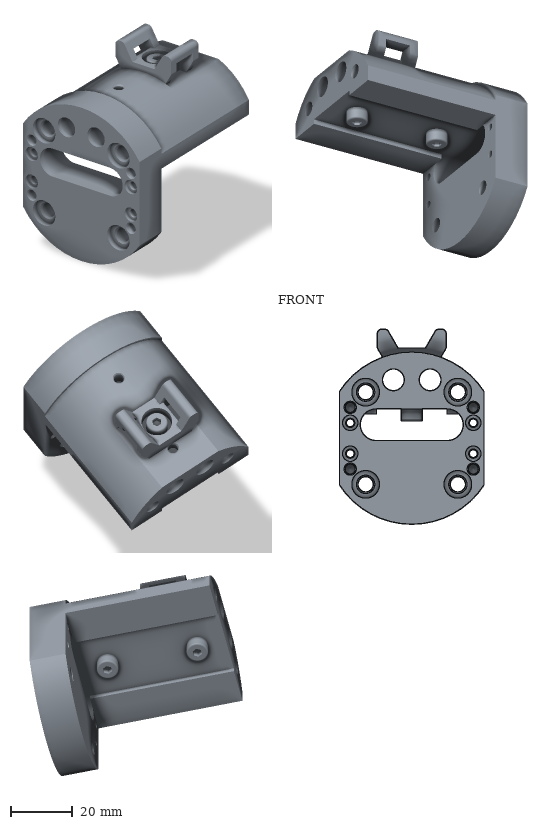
import cadquery as cq
import math

WIDTH = 47.0
LENGTH = 60.0
HEIGHT = 63.5
FLANGE_RADIUS = 28.0
FLANGE_THICKNESS = 12.0
CLIP_TOP = HEIGHT - FLANGE_RADIUS

ARM_RADIUS = 27.0
ARM_BOTTOM = 7.9
SEAT_HEIGHT = 24.5
RECESS_WIDTH = 22.85
RECESS_CEILING = 9.5

SLOT_LENGTH = 33.4
SLOT_HEIGHT = 10.2

M3_CORE, M3_MOUTH = 2.5, 3.0
M4_CORE, M4_MOUTH = 3.25, 4.0
M6_CORE, M6_MOUTH = 4.9, 6.0

CORNER_HOLE_OFFSET = 15.0
CORNER_COUNTERBORE = 9.0
CORNER_COUNTERBORE_DEPTH = 2.0
SIDE_HOLE_X = 20.0
SIDE_HOLE_Z = 5.0
SIDE_COUNTERBORE = 5.0
SIDE_COUNTERBORE_DEPTH = 1.3
BLIND_HOLE_Z = 2 * SIDE_HOLE_Z
BLIND_HOLE_DEPTH = 8.0
DRILL_POINT_ANGLE = 118.0
PLAIN_HOLE_DIAMETER = 7.0
PLAIN_HOLE_X = 6.0
PLAIN_HOLE_Z = 19.0

HEAD_DIAMETER = 7.0
HEAD_HEIGHT = 4.0
HEAD_FILLET = 0.5
SHANK_LENGTH = 12.0
SOCKET_ACROSS_FLATS = 2.7
SOCKET_DEPTH = 2.0
ARM_SCREW_FRONT_Y = 20.5
ARM_SCREW_REAR_Y = 50.5

CLIP_FRONT = 34.05
CLIP_LENGTH = 15.0
CLIP_CENTER_Y = CLIP_FRONT + CLIP_LENGTH / 2
CLIP_WIDTH = 22.5
CLIP_FLOOR_WIDTH = 8.9
CLIP_FLOOR = 29.35
CLIP_SLOPE = math.tan(math.radians(30))
TIP_FILLET = 1.5
SIDE_FILLET = 1.4
WINDOW_LENGTH = 9.0
WINDOW_TOP = 32.4
WINDOW_INNER_X = 5.8
CLIP_COUNTERBORE = 10.0
CLIP_HEAD_SINK = 0.25
CLIP_HEAD_SEAT = CLIP_FLOOR - CLIP_HEAD_SINK - HEAD_HEIGHT


def cylinder(diameter, start, direction, length):
    return cq.Workplane(cq.Solid.makeCylinder(diameter / 2, length, cq.Vector(*start), cq.Vector(*direction)))


def box(x_min, x_max, y_min, y_max, z_min, z_max):
    corner = cq.Vector(x_min, y_min, z_min)
    return cq.Workplane(cq.Solid.makeBox(x_max - x_min, y_max - y_min, z_max - z_min, corner))


def cone(diameter, end_diameter, start, direction, length):
    return cq.Workplane(
        cq.Solid.makeCone(diameter / 2, end_diameter / 2, length, cq.Vector(*start), cq.Vector(*direction))
    )


def threaded_hole(core, mouth, start, direction, length):
    """Tool for a threaded hole with a 45 degree countersunk mouth."""
    countersink = cone(mouth, core, start, direction, (mouth - core) / 2)
    return cylinder(core, start, direction, length).union(countersink)


def flange():
    disc = cylinder(2 * FLANGE_RADIUS, (0, 0, 0), (0, 1, 0), FLANGE_THICKNESS)
    flats = box(-WIDTH / 2, WIDTH / 2, 0, FLANGE_THICKNESS, -FLANGE_RADIUS, FLANGE_RADIUS)
    return disc.intersect(flats)


def arm():
    barrel = cylinder(2 * ARM_RADIUS, (0, 0, 0), (0, 1, 0), LENGTH)
    body = barrel.intersect(box(-WIDTH / 2, WIDTH / 2, FLANGE_THICKNESS, LENGTH, ARM_BOTTOM, ARM_RADIUS))
    recess = box(-RECESS_WIDTH / 2, RECESS_WIDTH / 2, FLANGE_THICKNESS, LENGTH, ARM_BOTTOM, RECESS_CEILING)
    seat = box(-WIDTH / 2, WIDTH / 2, CLIP_FRONT, LENGTH, SEAT_HEIGHT, ARM_RADIUS)
    return body.cut(recess).cut(seat)


def flange_slot():
    center_z = RECESS_CEILING - SLOT_HEIGHT / 2
    return (
        cq.Workplane("XZ")
        .center(0, center_z)
        .slot2D(SLOT_LENGTH, SLOT_HEIGHT)
        .extrude(-FLANGE_THICKNESS)
    )


def counterbored_thread(core, mouth, counterbore, depth, x, z):
    """Tool for a through thread along Y that starts at the bottom of a counterbore."""
    thread = threaded_hole(core, mouth, (x, depth, z), (0, 1, 0), LENGTH - depth)
    return thread.union(cylinder(counterbore, (x, 0, z), (0, 1, 0), depth))


def corner_hole(x, z):
    return counterbored_thread(M6_CORE, M6_MOUTH, CORNER_COUNTERBORE, CORNER_COUNTERBORE_DEPTH, x, z)


def side_hole(x, z):
    return counterbored_thread(M3_CORE, M3_MOUTH, SIDE_COUNTERBORE, SIDE_COUNTERBORE_DEPTH, x, z)


def blind_thread(x, z):
    """Tool for a blind thread along Y with a conical drill point."""
    point_length = M4_CORE / 2 / math.tan(math.radians(DRILL_POINT_ANGLE / 2))
    point = cone(M4_CORE, 0, (x, BLIND_HOLE_DEPTH, z), (0, 1, 0), point_length)
    return threaded_hole(M4_CORE, M4_MOUTH, (x, 0, z), (0, 1, 0), BLIND_HOLE_DEPTH).union(point)


def make_bracket():
    bracket = flange().union(arm()).cut(flange_slot())
    for side in (-1, 1):
        bracket = bracket.cut(
            cylinder(PLAIN_HOLE_DIAMETER, (side * PLAIN_HOLE_X, 0, PLAIN_HOLE_Z), (0, 1, 0), LENGTH)
        )
        for level in (-1, 1):
            side_x = side * SIDE_HOLE_X
            bracket = bracket.cut(corner_hole(side * CORNER_HOLE_OFFSET, level * CORNER_HOLE_OFFSET))
            bracket = bracket.cut(side_hole(side_x, level * SIDE_HOLE_Z))
            bracket = bracket.cut(blind_thread(side_x, level * BLIND_HOLE_Z))
    for y, top in ((ARM_SCREW_FRONT_Y, ARM_RADIUS), (ARM_SCREW_REAR_Y, SEAT_HEIGHT)):
        thread_length = top - RECESS_CEILING
        bracket = bracket.cut(threaded_hole(M4_CORE, M4_MOUTH, (0, y, top), (0, 0, -1), thread_length))
    return bracket.cut(cylinder(M4_CORE, (0, CLIP_CENTER_Y, CLIP_HEAD_SEAT), (0, 0, -1), SHANK_LENGTH))


def make_clip():
    half_width = CLIP_WIDTH / 2
    half_floor = CLIP_FLOOR_WIDTH / 2
    half_tip = half_floor + (CLIP_TOP - CLIP_FLOOR) * CLIP_SLOPE
    half_base = half_width - (CLIP_FLOOR - SEAT_HEIGHT) * CLIP_SLOPE
    right_half = [
        (half_base, SEAT_HEIGHT),
        (half_width, CLIP_FLOOR),
        (half_width, CLIP_TOP),
        (half_tip, CLIP_TOP),
        (half_floor, CLIP_FLOOR),
    ]
    left_half = [(-x, z) for x, z in reversed(right_half)]
    clip = (
        cq.Workplane("XZ", origin=(0, CLIP_FRONT, 0))
        .polyline(right_half + left_half)
        .close()
        .extrude(-CLIP_LENGTH)
    )
    clip = clip.edges("|Y and >Z").fillet(TIP_FILLET)
    side_corners = cq.selectors.BoxSelector(
        (-WIDTH, CLIP_FRONT, CLIP_FLOOR - SIDE_FILLET),
        (WIDTH, CLIP_FRONT + CLIP_LENGTH, CLIP_FLOOR + SIDE_FILLET),
    )
    outer_corners = clip.edges("|Y").edges(side_corners)
    clip = outer_corners.edges("<X or >X").fillet(SIDE_FILLET)
    window_front = CLIP_CENTER_Y - WINDOW_LENGTH / 2
    window_back = CLIP_CENTER_Y + WINDOW_LENGTH / 2
    clip = clip.cut(box(-half_width, half_width, window_front, window_back, CLIP_FLOOR, WINDOW_TOP))
    for inner, outer in ((WINDOW_INNER_X, half_width), (-half_width, -WINDOW_INNER_X)):
        clip = clip.cut(box(inner, outer, window_front, window_back, SEAT_HEIGHT, CLIP_FLOOR))
    head_seat = (0, CLIP_CENTER_Y, CLIP_HEAD_SEAT)
    counterbore = cylinder(CLIP_COUNTERBORE, head_seat, (0, 0, 1), CLIP_FLOOR - CLIP_HEAD_SEAT)
    shank_hole = cylinder(M4_CORE, head_seat, (0, 0, -1), CLIP_HEAD_SEAT - SEAT_HEIGHT)
    return clip.cut(counterbore).cut(shank_hole)


def make_screw(y, seat_z, head_up):
    """Socket-head screw whose head rests on the level seat_z."""
    head = cq.Workplane("XY").circle(HEAD_DIAMETER / 2).extrude(HEAD_HEIGHT)
    head = head.faces(">Z").edges().fillet(HEAD_FILLET)
    shank = cq.Workplane("XY").circle(M4_CORE / 2).extrude(-SHANK_LENGTH)
    socket = (
        cq.Workplane("XY", origin=(0, 0, HEAD_HEIGHT))
        .transformed(rotate=(0, 0, 30))
        .polygon(6, SOCKET_ACROSS_FLATS, circumscribed=True)
        .extrude(-SOCKET_DEPTH)
    )
    screw = head.union(shank).cut(socket)
    if not head_up:
        screw = screw.rotate((0, 0, 0), (1, 0, 0), 180)
    return screw.translate((0, y, seat_z))


bracket = make_bracket()
clip = make_clip()
clip_screw = make_screw(CLIP_CENTER_Y, CLIP_HEAD_SEAT, head_up=True)
arm_screws = [
    make_screw(y, RECESS_CEILING, head_up=False).val() for y in (ARM_SCREW_FRONT_Y, ARM_SCREW_REAR_Y)
]

result = cq.Compound.makeCompound([bracket.val(), clip.val(), clip_screw.val(), *arm_screws])